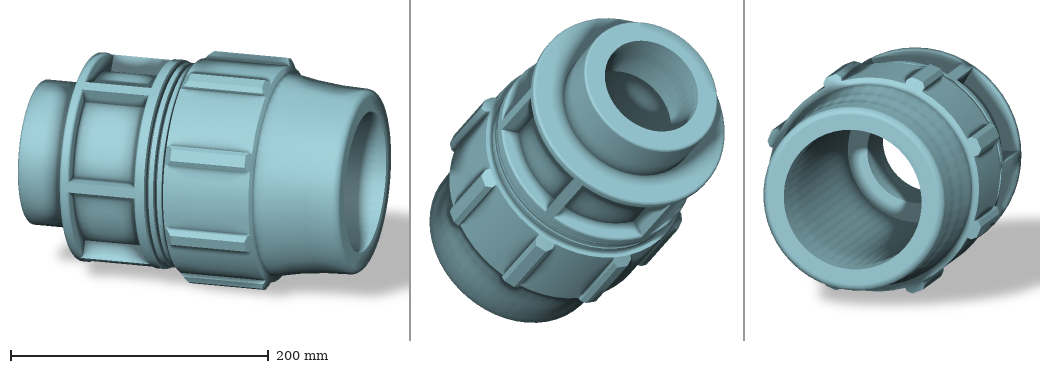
import cadquery as cq
import math

LENGTH = 265.0

BORE_RADIUS = 79.2 / 2
SOCKET_RADIUS = 110.0 / 2
SOCKET_START = 51.7

SPIGOT_RADIUS = 113.2 / 2
SPIGOT_EDGE = 2.0
COLLAR_RADIUS = 163.0 / 2
COLLAR_START = 41.5
COLLAR_END = 110.5
COLLAR_EDGE = 2.5
NECK_RADIUS = 144.7 / 2
RING_RADIUS = 159.5 / 2
RING_WIDTH = 3.7
RING_PITCH = 7.0
FIRST_RING_START = 113.7
RING_COUNT = 2

WINDOW_START = 49.3
WINDOW_END = 102.0
WINDOW_FLOOR_RADIUS = 67.3
WINDOW_LIP = 2.0
BAR_WIDTH = 8.2
BAR_COUNT = 6
BAR_SPACING = 360.0 / BAR_COUNT

NUT_RADIUS = 84.3
NUT_START = 127.0
NUT_END = 198.8
TAIL_START_RADIUS = 79.2
TAIL_END_RADIUS = NECK_RADIUS
TAIL_EDGE = 5.3

RIB_TOP_RADIUS = 90.4
RIB_SHOULDER_RADIUS = 87.0
RIB_ROOT_RADIUS = 80.8
RIB_TOP_WIDTH = 9.0
RIB_SHOULDER_WIDTH = 15.5
RIB_ROOT_WIDTH = 13.2
RIB_TOP_END = 193.2
RIB_COUNT = 8
RIB_SPACING = 360.0 / RIB_COUNT


def disc(start, end, radius):
    """Solid cylinder along X between two stations."""
    return cq.Workplane("YZ", origin=(start, 0, 0)).circle(radius).extrude(end - start)


def around_axis(shape, angle):
    """Copy of a shape turned about the X axis."""
    return shape.rotate((0, 0, 0), (1, 0, 0), angle)


def make_body():
    spigot = disc(0, COLLAR_START, SPIGOT_RADIUS).faces("<X").edges().fillet(SPIGOT_EDGE)
    collar = disc(COLLAR_START, COLLAR_END, COLLAR_RADIUS).faces("<X").edges().fillet(COLLAR_EDGE)
    body = spigot.union(collar.cut(make_windows()))
    body = body.union(disc(COLLAR_END, NUT_START, NECK_RADIUS))
    for index in range(RING_COUNT):
        ring_start = FIRST_RING_START + index * RING_PITCH
        body = body.union(disc(ring_start, ring_start + RING_WIDTH, RING_RADIUS))
    return body


def make_windows():
    """Annular cutter with rounded lips, interrupted by the bars."""
    lip_bottom = COLLAR_RADIUS - WINDOW_LIP
    lip_offset = WINDOW_LIP * (1 - math.sqrt(0.5))
    windows = (
        cq.Workplane("XY")
        .moveTo(WINDOW_START, WINDOW_FLOOR_RADIUS)
        .lineTo(WINDOW_START, lip_bottom)
        .threePointArc(
            (WINDOW_START - lip_offset, COLLAR_RADIUS - lip_offset),
            (WINDOW_START - WINDOW_LIP, COLLAR_RADIUS),
        )
        .lineTo(WINDOW_END + WINDOW_LIP, COLLAR_RADIUS)
        .threePointArc(
            (WINDOW_END + lip_offset, COLLAR_RADIUS - lip_offset),
            (WINDOW_END, lip_bottom),
        )
        .lineTo(WINDOW_END, WINDOW_FLOOR_RADIUS)
        .close()
        .revolve(360, (0, 0, 0), (1, 0, 0))
    )
    bar = cq.Workplane("XY").box(
        COLLAR_END - COLLAR_START, COLLAR_RADIUS + 2.6, BAR_WIDTH, centered=(False, False, True)
    ).translate((COLLAR_START, 0, 0))
    for index in range(BAR_COUNT):
        windows = windows.cut(around_axis(bar, index * BAR_SPACING))
    return windows


def make_nut():
    barrel = disc(NUT_START, NUT_END, NUT_RADIUS)
    rib = make_rib()
    for index in range(RIB_COUNT):
        barrel = barrel.union(around_axis(rib, (index + 0.5) * RIB_SPACING))
    return barrel.intersect(make_nut_envelope()).union(make_tail())


def make_nut_envelope():
    """Turned outline trimming barrel and ribs: a 45 degree lead-in and a steep cone down to the tail."""
    rib_corner_radius = math.hypot(RIB_TOP_RADIUS, RIB_TOP_WIDTH / 2)
    lead_in = rib_corner_radius - NUT_RADIUS
    return (
        cq.Workplane("XY")
        .polyline([
            (NUT_START, 0),
            (NUT_START, NUT_RADIUS),
            (NUT_START + lead_in, rib_corner_radius),
            (RIB_TOP_END, rib_corner_radius),
            (NUT_END, TAIL_START_RADIUS),
            (NUT_END, 0),
        ])
        .close()
        .revolve(360, (0, 0, 0), (1, 0, 0))
    )


def make_tail():
    """Taper whose concave arc runs out parallel to the axis, ending in a rounded rim."""
    arc_end = LENGTH - TAIL_EDGE
    arc_length = arc_end - NUT_END
    arc_drop = TAIL_START_RADIUS - TAIL_END_RADIUS
    arc_radius = (arc_length**2 + arc_drop**2) / (2 * arc_drop)
    half_sweep = math.asin(arc_length / arc_radius) / 2
    arc_middle = (
        arc_end - arc_radius * math.sin(half_sweep),
        TAIL_END_RADIUS + arc_radius * (1 - math.cos(half_sweep)),
    )
    rim_offset = TAIL_EDGE * (1 - math.sqrt(0.5))
    return (
        cq.Workplane("XY")
        .moveTo(NUT_END, 0)
        .lineTo(NUT_END, TAIL_START_RADIUS)
        .threePointArc(arc_middle, (arc_end, TAIL_END_RADIUS))
        .threePointArc(
            (LENGTH - rim_offset, TAIL_END_RADIUS - rim_offset),
            (LENGTH, TAIL_END_RADIUS - TAIL_EDGE),
        )
        .lineTo(LENGTH, 0)
        .close()
        .revolve(360, (0, 0, 0), (1, 0, 0))
    )


def make_rib():
    """Rib on the +Y side: a faceted bar as long as the nut barrel."""
    half_section = [
        (RIB_ROOT_RADIUS, RIB_ROOT_WIDTH / 2),
        (RIB_SHOULDER_RADIUS, RIB_SHOULDER_WIDTH / 2),
        (RIB_TOP_RADIUS, RIB_TOP_WIDTH / 2),
    ]
    mirrored_half = [(radius, -offset) for radius, offset in reversed(half_section)]
    return (
        cq.Workplane("YZ", origin=(NUT_START, 0, 0))
        .polyline(half_section + mirrored_half)
        .close()
        .extrude(NUT_END - NUT_START)
    )


bore = disc(0, LENGTH, BORE_RADIUS)
socket = disc(SOCKET_START, LENGTH, SOCKET_RADIUS)
result = make_body().union(make_nut()).cut(bore).cut(socket)